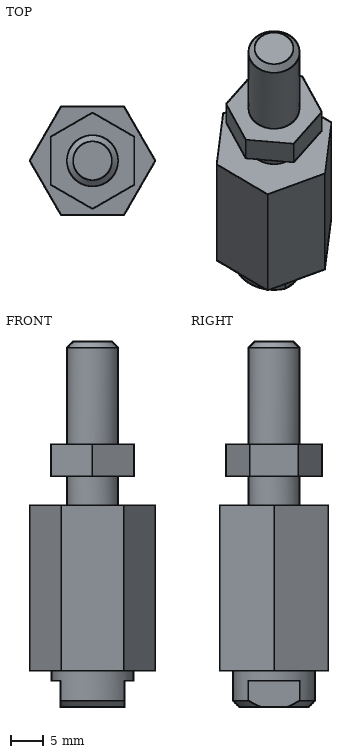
import cadquery as cq
import math

total_height = 57.0
boss_height = 5.65
body_top = 31.45
nut_bottom = 35.95
nut_thickness = 5.0

body_across_flats = 17.0
nut_across_flats = 13.0

stud_diameter = 8.0
stud_chamfer = 0.95
boss_diameter = 12.8
boss_chamfer = 1.0

wrench_across_flats = 10.05
wrench_flat_height = 4.1


def hex_prism(across_flats, bottom, height, turn=0):
    """Hexagonal prism with corners on X, turned about Z by the given angle."""
    across_corners = across_flats / math.cos(math.radians(30))
    prism = cq.Workplane("XY").workplane(offset=bottom).polygon(6, across_corners).extrude(height)
    return prism.rotate((0, 0, 0), (0, 0, 1), turn)


def make_stud():
    """Stud with a chamfered tip, rising from the top of the body."""
    stud = cq.Workplane("XY").workplane(offset=body_top).circle(stud_diameter / 2)
    return stud.extrude(total_height - body_top).faces(">Z").chamfer(stud_chamfer)


def make_boss():
    """Round boss with a chamfered end and two flats facing -X and +X."""
    boss = cq.Workplane("XY").circle(boss_diameter / 2).extrude(boss_height)
    boss = boss.faces("<Z").chamfer(boss_chamfer)
    between_flats = cq.Workplane("XY").box(
        wrench_across_flats, boss_diameter, wrench_flat_height, centered=(True, True, False)
    )
    above_flats = (
        cq.Workplane("XY")
        .workplane(offset=wrench_flat_height)
        .circle(boss_diameter / 2)
        .extrude(boss_height - wrench_flat_height)
    )
    return boss.intersect(between_flats.union(above_flats))


body = hex_prism(body_across_flats, boss_height, body_top - boss_height)
lock_nut = hex_prism(nut_across_flats, nut_bottom, nut_thickness, turn=30)

result = body.union(make_boss()).union(make_stud()).union(lock_nut)